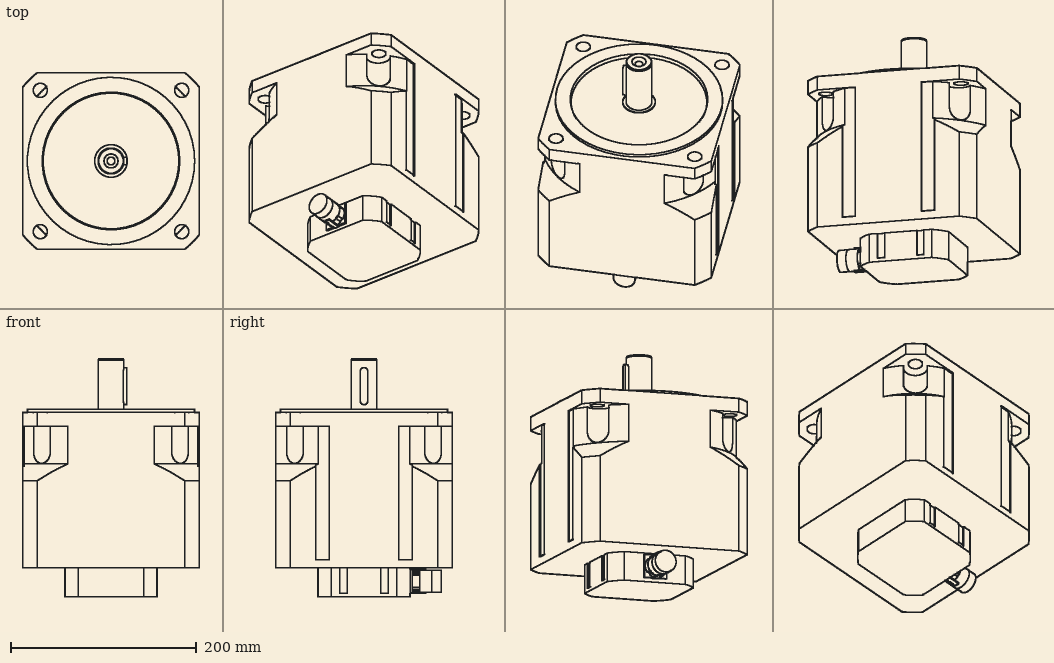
import cadquery as cq
import math

frame_width = 190.0
corner_radius = 124.0
frame_bottom = 31.2
flange_top = 198.7
flange_thickness = 15.0
flange_bottom = flange_top - flange_thickness

pilot_diameter = 180.0
pilot_top = 202.0
recess_top_diameter = 148.0
recess_floor_diameter = 146.0
recess_depth = 4.0
recess_floor = pilot_top - recess_depth
seal_diameter = 35.0
seal_height = 0.8
seal_top = recess_floor + seal_height

core_radius = 105.7
pocket_height = 40.5
pocket_floor = flange_bottom - pocket_height
mount_hole_diameter = 15.0
mount_hole_pitch = 152.0
clearance_diameter = 26.0
clearance_centre_radius = 102.0
cut_margin = 2.5

groove_depth = 1.5
frame_groove_width = 14.5
frame_groove_offset = 44.5
frame_groove_bottom = 40.2
rear_groove_width = 8.0
rear_groove_offset = 22.0
rear_groove_bottom = 4.0

rear_width = 99.0
rear_corner_radius = 60.7

connector_height = 17.0
base_plate_size = 25.0
base_plate_end = 51.7
nut_diameter = 23.5
nut_end = 60.2
notch_count = 4
first_notch_angle = 45
notch_width = 3.5
notch_depth = 1.0
plug_diameter = 24.0
plug_end = 73.0
tip_diameter = 23.8
connector_end = 83.2
rib_width = 5.0
rib_span = 26.0
rib_end = 66.5

shaft_diameter = 28.0
shaft_top = 256.0
shaft_chamfer_height = 1.5
shaft_chamfer_width = 0.8
centre_hole_diameter = 8.5
countersink_diameter = 15.0
centre_hole_depth = 20.5
drill_tip_height = 2.0

key_width = 8.0
key_length = 40.0
key_bottom = 206.8
key_floor = 10.0
key_face = 17.2


def rounded_square(width, radius, bottom, top):
    """Square block whose corners are turned to a radius about the Z axis."""
    height = top - bottom
    block = cq.Workplane("XY", origin=(0, 0, bottom)).rect(width, width).extrude(height)
    disc = cq.Workplane("XY", origin=(0, 0, bottom)).circle(radius).extrude(height)
    return block.intersect(disc)


def corner_pocket_ring():
    """Ring above a 45 degree cone; only its corners meet the frame."""
    outer = corner_radius + cut_margin
    return (
        cq.Workplane("XZ")
        .moveTo(core_radius, flange_bottom)
        .lineTo(core_radius, pocket_floor)
        .lineTo(outer, pocket_floor - (outer - core_radius))
        .lineTo(outer, flange_bottom)
        .close()
        .revolve(360, (0, 0, 0), (0, 1, 0))
    )


def ball_ended_clearance(angle):
    """Vertical bore under the flange that ends in a hemisphere."""
    radius = clearance_diameter / 2
    x = clearance_centre_radius * math.cos(angle)
    y = clearance_centre_radius * math.sin(angle)
    ball_centre = pocket_floor + radius
    centre_plane = cq.Workplane("XY", origin=(x, y, ball_centre))
    bore = centre_plane.circle(radius).extrude(flange_bottom - ball_centre)
    ball = centre_plane.sphere(radius)
    return bore.union(ball)


def side_grooves(body_width, width, offset, bottom, top):
    height = top - bottom
    x = body_width / 2
    centres = [(sx * x, sy * offset) for sx in (-1, 1) for sy in (-1, 1)]
    return (
        cq.Workplane("XY", origin=(0, 0, bottom))
        .pushPoints(centres)
        .rect(2 * groove_depth, width)
        .extrude(height)
    )


def frame():
    body = rounded_square(frame_width, corner_radius, frame_bottom, flange_top)
    body = body.cut(corner_pocket_ring())
    for degrees in (45, 135, 225, 315):
        body = body.cut(ball_ended_clearance(math.radians(degrees)))
    holes = (
        cq.Workplane("XY", origin=(0, 0, flange_bottom))
        .rect(mount_hole_pitch, mount_hole_pitch, forConstruction=True)
        .vertices()
        .circle(mount_hole_diameter / 2)
        .extrude(flange_thickness)
    )
    grooves = side_grooves(
        frame_width, frame_groove_width, frame_groove_offset, frame_groove_bottom, flange_bottom
    )
    return body.cut(holes).cut(grooves)


def pilot():
    return (
        cq.Workplane("XY", origin=(0, 0, flange_top))
        .circle(pilot_diameter / 2)
        .extrude(pilot_top - flange_top)
    )


def pilot_recess():
    return (
        cq.Workplane("XZ")
        .moveTo(0, recess_floor)
        .lineTo(recess_floor_diameter / 2, recess_floor)
        .lineTo(recess_top_diameter / 2, pilot_top)
        .lineTo(0, pilot_top)
        .close()
        .revolve(360, (0, 0, 0), (0, 1, 0))
    )


def seal():
    return (
        cq.Workplane("XY", origin=(0, 0, recess_floor))
        .circle(seal_diameter / 2)
        .extrude(seal_height)
    )


def rear_cover():
    cover = rounded_square(rear_width, rear_corner_radius, 0, frame_bottom)
    grooves = side_grooves(
        rear_width, rear_groove_width, rear_groove_offset, rear_groove_bottom, frame_bottom
    )
    return cover.cut(grooves)


def connector_plane(y):
    """Plane across the connector axis at the given Y; a negative extrusion runs toward +Y."""
    return cq.Workplane("XZ", origin=(0, y, connector_height))


def connector_cylinder(diameter, start, end):
    return connector_plane(start).circle(diameter / 2).extrude(start - end)


def connector_nut():
    """Round nut with square notches along its length."""
    nut = connector_cylinder(nut_diameter, base_plate_end, nut_end)
    notches = (
        connector_plane(base_plate_end)
        .polarArray(nut_diameter / 2, first_notch_angle, 360, notch_count)
        .rect(2 * notch_depth, notch_width)
        .extrude(base_plate_end - nut_end)
    )
    return nut.cut(notches)


def connector():
    start = rear_width / 2
    plate = connector_plane(start).rect(base_plate_size, base_plate_size).extrude(start - base_plate_end)
    ribs = connector_plane(start).rect(rib_width, rib_span).extrude(start - rib_end)
    plug = connector_cylinder(plug_diameter, nut_end, plug_end)
    tip = connector_cylinder(tip_diameter, plug_end, connector_end)
    return plate.union(connector_nut()).union(plug).union(tip).union(ribs)


def make_housing():
    body = frame().union(pilot()).cut(pilot_recess()).union(seal())
    return body.union(rear_cover()).union(connector())


def make_key():
    height = key_face - key_floor
    return (
        cq.Workplane("YZ", origin=(key_floor, 0, key_bottom + key_length / 2))
        .slot2D(key_length, key_width, 90)
        .extrude(height)
    )


def make_shaft():
    shaft = (
        cq.Workplane("XY", origin=(0, 0, seal_top))
        .circle(shaft_diameter / 2)
        .extrude(shaft_top - seal_top)
        .faces(">Z")
        .chamfer(shaft_chamfer_height, shaft_chamfer_width)
    )
    hole_radius = centre_hole_diameter / 2
    sink_radius = countersink_diameter / 2
    sink_depth = sink_radius - hole_radius
    centre_hole = (
        cq.Workplane("XZ")
        .moveTo(0, shaft_top)
        .lineTo(sink_radius, shaft_top)
        .lineTo(hole_radius, shaft_top - sink_depth)
        .lineTo(hole_radius, shaft_top - centre_hole_depth)
        .lineTo(0, shaft_top - centre_hole_depth - drill_tip_height)
        .close()
        .revolve(360, (0, 0, 0), (0, 1, 0))
    )
    return shaft.cut(centre_hole).cut(make_key())


housing = make_housing()
shaft = make_shaft()
key = make_key()
result = cq.Compound.makeCompound([housing.val(), shaft.val(), key.val()])